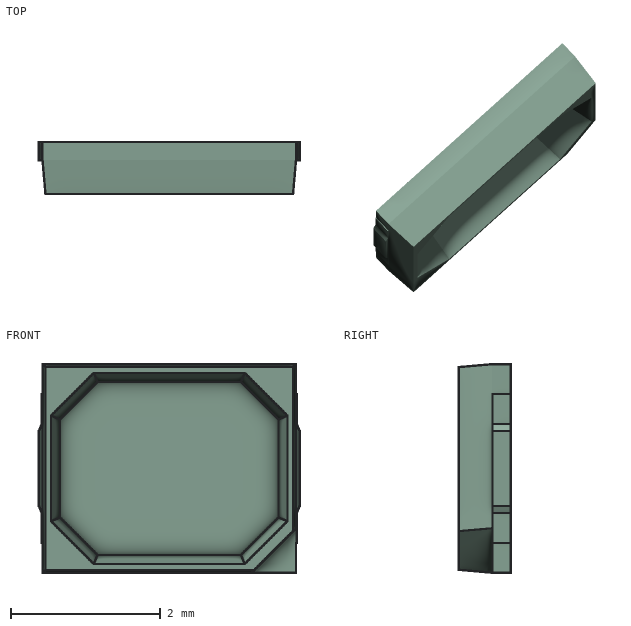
import cadquery as cq
import math

depth = 0.7
plate_thickness = 0.25
housing_depth = depth - plate_thickness

overall_width = 3.5
height = 2.8
body_width = 3.402
lead_step = 0.01
lead_height = 2.002
tab_root_height = 1.19
tab_tip_height = 1.0

housing_draft = 5.0
corner_cut = 0.6

pocket_width = 3.17
pocket_height = 2.562
pocket_corner = 0.575
pocket_draft = 15.0
pocket_depth = housing_depth

front_y = -depth / 2
joint_y = front_y + housing_depth


def xz_plane(y, toward_back=False):
    """Plane at depth y, local axes X and Z; extrudes to the front unless turned toward the back."""
    if toward_back:
        return cq.Workplane(cq.Plane((0, y, 0), (-1, 0, 0), (0, 1, 0)))
    return cq.Workplane(cq.Plane((0, y, 0), (1, 0, 0), (0, -1, 0)))


def make_plate():
    """Flat plate with a shallow lead step and a protruding tab on each X side."""
    body_x = body_width / 2
    lead_x = body_x + lead_step
    tab_x = overall_width / 2
    right_side = [
        (body_x, -height / 2),
        (body_x, -lead_height / 2),
        (lead_x, -lead_height / 2),
        (lead_x, -tab_root_height / 2),
        (tab_x, -tab_tip_height / 2),
        (tab_x, tab_tip_height / 2),
        (lead_x, tab_root_height / 2),
        (lead_x, lead_height / 2),
        (body_x, lead_height / 2),
        (body_x, height / 2),
    ]
    left_side = [(-x, -z) for x, z in right_side]
    outline = xz_plane(joint_y, toward_back=True).polyline(right_side + left_side).close()
    return outline.extrude(plate_thickness)


def make_housing():
    """Tapered block with its lower +X corner cut straight down to the plate."""
    block = xz_plane(joint_y).rect(body_width, height).extrude(housing_depth, taper=housing_draft)
    corner_x = body_width / 2
    corner_z = -height / 2
    corner = (
        xz_plane(joint_y)
        .polyline([
            (corner_x, corner_z),
            (corner_x, corner_z + corner_cut),
            (corner_x - corner_cut, corner_z),
        ])
        .close()
        .extrude(housing_depth)
    )
    return block.cut(corner)


def make_pocket():
    """Octagonal cavity narrowing from the front face toward its floor."""
    floor_inset = pocket_depth * math.tan(math.radians(pocket_draft))
    corner_shrink = floor_inset * (2 - math.sqrt(2))

    def octagon(y, inset, corner):
        x = pocket_width / 2 - inset
        z = pocket_height / 2 - inset
        upper = [(x, z - corner), (x - corner, z), (corner - x, z), (-x, z - corner)]
        lower = [(-px, -pz) for px, pz in upper]
        return cq.Wire.makePolygon([cq.Vector(px, y, pz) for px, pz in upper + lower], close=True)

    mouth = octagon(front_y, 0, pocket_corner)
    floor = octagon(front_y + pocket_depth, floor_inset, pocket_corner - corner_shrink)
    return cq.Workplane(cq.Solid.makeLoft([mouth, floor], True))


result = make_plate().union(make_housing()).cut(make_pocket())